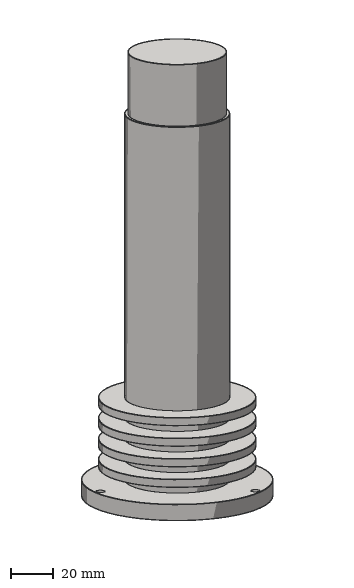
import cadquery as cq

total_height = 216.0
edge_break = 0.2

base_diameter = 90.0
base_thickness = 8.0
hole_diameter = 4.2
hole_circle_radius = 42.0
hole_count = 3

column_diameter = 49.4
tip_diameter = 46.4
tip_length = 30.0
shoulder_height = total_height - tip_length

fin_diameter = 74.0
fin_thickness = 4.0
fin_gap = 6.0
fin_count = 4
fin_pitch = fin_thickness + fin_gap


def cylinder(diameter, bottom, height):
    """Solid cylinder on the Z axis, starting at the given height."""
    return cq.Workplane("XY").workplane(offset=bottom).circle(diameter / 2).extrude(height)


def disc(diameter, bottom, height):
    """Cylinder with both rims chamfered."""
    return cylinder(diameter, bottom, height).edges("%CIRCLE").chamfer(edge_break)


def base_plate():
    """Round plate with evenly spaced through holes, the first one on +X."""
    holes = (
        cq.Workplane("XY")
        .polarArray(hole_circle_radius, 0, 360, hole_count)
        .circle(hole_diameter / 2)
        .extrude(base_thickness)
    )
    return disc(base_diameter, 0, base_thickness).cut(holes)


def column():
    """Column shaft with the thinner tip on top, each with a chamfered upper rim."""
    shaft = cylinder(column_diameter, 0, shoulder_height).faces(">Z").chamfer(edge_break)
    tip = cylinder(tip_diameter, shoulder_height, tip_length).faces(">Z").chamfer(edge_break)
    return shaft.union(tip)


def fin(index):
    """One cooling fin, counted upward from the base plate."""
    bottom = base_thickness + fin_gap + index * fin_pitch
    return disc(fin_diameter, bottom, fin_thickness)


result = base_plate().union(column())
for fin_index in range(fin_count):
    result = result.union(fin(fin_index))